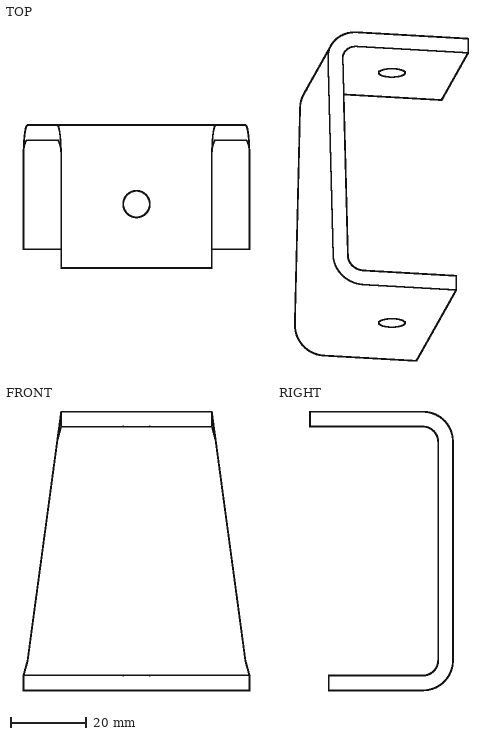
import cadquery as cq
import math

height = 74.0
sheet = 4.0
top_width = 40.0
bottom_width = 60.0
top_depth = 38.0
bottom_depth = 33.0

inner_radius = 4.0
outer_radius = inner_radius + sheet
quarter_turn = math.pi / 2
bend_side_steps = 8

hole_diameter = 7.0
hole_from_back = 21.0

side_slope = (bottom_width - top_width) / 2 / height
bend_taper = side_slope * outer_radius
web_top_width = top_width + 2 * bend_taper
web_bottom_width = bottom_width - 2 * bend_taper

web_bottom = outer_radius
web_top = height - outer_radius


def make_flange(width, depth, bottom):
    """Flat flange from the end of its bend to its free edge."""
    length = depth - outer_radius
    flange = cq.Workplane("XY").box(width, length, sheet, centered=(True, False, False))
    return flange.translate((0, -depth, bottom))


def make_web():
    """Upright trapezoid between the two bends."""
    return (
        cq.Workplane("XZ")
        .moveTo(-web_bottom_width / 2, web_bottom)
        .lineTo(web_bottom_width / 2, web_bottom)
        .lineTo(web_top_width / 2, web_top)
        .lineTo(-web_top_width / 2, web_top)
        .close()
        .extrude(sheet)
    )


def make_bend(web_width, flange_width, center_z, direction):
    """Quarter bend that changes from the web width to the flange width.

    The width follows the sine of the bend angle, so it changes evenly with height.
    direction is +1 for a bend above the web and -1 for one below it.
    """

    def bend_point(radius, angle, side):
        width = web_width + (flange_width - web_width) * math.sin(angle)
        return cq.Vector(
            side * width / 2,
            -outer_radius + radius * math.cos(angle),
            center_z + direction * radius * math.sin(angle),
        )

    def side_edge(radius, side):
        angles = [quarter_turn * step / bend_side_steps for step in range(bend_side_steps + 1)]
        return cq.Edge.makeSpline([bend_point(radius, angle, side) for angle in angles])

    def end_face(angle):
        corners = [
            bend_point(inner_radius, angle, -1),
            bend_point(outer_radius, angle, -1),
            bend_point(outer_radius, angle, 1),
            bend_point(inner_radius, angle, 1),
        ]
        return cq.Face.makeFromWires(cq.Wire.makePolygon(corners, close=True))

    left_inner = side_edge(inner_radius, -1)
    left_outer = side_edge(outer_radius, -1)
    right_inner = side_edge(inner_radius, 1)
    right_outer = side_edge(outer_radius, 1)
    faces = [
        cq.Face.makeRuledSurface(left_inner, left_outer),
        cq.Face.makeRuledSurface(right_inner, right_outer),
        cq.Face.makeRuledSurface(left_inner, right_inner),
        cq.Face.makeRuledSurface(left_outer, right_outer),
        end_face(0),
        end_face(quarter_turn),
    ]
    return cq.Workplane(cq.Solid.makeSolid(cq.Shell.makeShell(faces)).fix())


def make_hole_cutter():
    """Vertical cylinder through both flanges."""
    return (
        cq.Workplane("XY")
        .center(0, -hole_from_back)
        .circle(hole_diameter / 2)
        .extrude(height)
    )


bracket = make_web()
bracket = bracket.union(make_bend(web_bottom_width, bottom_width, web_bottom, -1))
bracket = bracket.union(make_bend(web_top_width, top_width, web_top, 1))
bracket = bracket.union(make_flange(bottom_width, bottom_depth, 0))
bracket = bracket.union(make_flange(top_width, top_depth, height - sheet))
result = bracket.cut(make_hole_cutter())